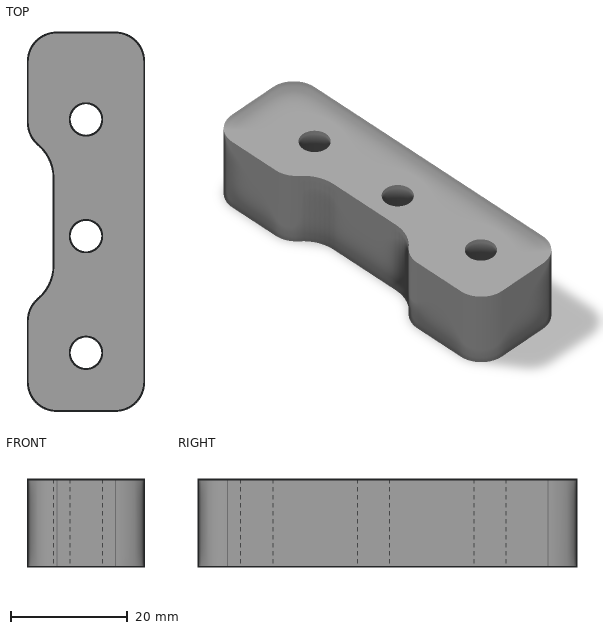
import cadquery as cq
import math

length = 65.0
width = 20.0
height = 15.0
corner_radius = 5.0

hole_diameter = 5.5
hole_pitch = 20.0
hole_count = 3
hole_row_y = -2.5

recess_depth = 4.4
recess_floor_length = 15.0
lip_radius = corner_radius
floor_radius = 7.5

turn = math.acos(1 - recess_depth / (lip_radius + floor_radius))
side_x = -width / 2
floor_x = side_x + recess_depth
floor_end_y = recess_floor_length / 2
floor_center = (floor_x - floor_radius, floor_end_y)
lip_center = (side_x + lip_radius, floor_end_y + (lip_radius + floor_radius) * math.sin(turn))


def floor_arc_point(angle):
    """Point on the concave arc, at an angle from the recess floor."""
    return (
        floor_center[0] + floor_radius * math.cos(angle),
        floor_center[1] + floor_radius * math.sin(angle),
    )


def lip_arc_point(angle):
    """Point on the convex arc, at an angle from the outer side."""
    return (
        lip_center[0] - lip_radius * math.cos(angle),
        lip_center[1] - lip_radius * math.sin(angle),
    )


def mirrored(point):
    """Same point at the other end of the recess."""
    return (point[0], -point[1])


def make_block():
    block = cq.Workplane("XY").box(width, length, height)
    return block.edges("|Z").fillet(corner_radius)


def make_recess():
    floor_start = floor_arc_point(0)
    floor_middle = floor_arc_point(turn / 2)
    arc_joint = floor_arc_point(turn)
    lip_middle = lip_arc_point(turn / 2)
    lip_end = lip_arc_point(0)
    return (
        cq.Workplane("XY", origin=(0, 0, -height / 2))
        .moveTo(*mirrored(floor_start))
        .lineTo(*floor_start)
        .threePointArc(floor_middle, arc_joint)
        .threePointArc(lip_middle, lip_end)
        .lineTo(*mirrored(lip_end))
        .threePointArc(mirrored(lip_middle), mirrored(arc_joint))
        .threePointArc(mirrored(floor_middle), mirrored(floor_start))
        .close()
        .extrude(height)
    )


def drill_holes(body):
    return (
        body.faces(">Z")
        .workplane(origin=(0, hole_row_y, 0))
        .rarray(0.65, hole_pitch, 1, hole_count)
        .hole(hole_diameter)
    )


result = drill_holes(make_block().cut(make_recess()))